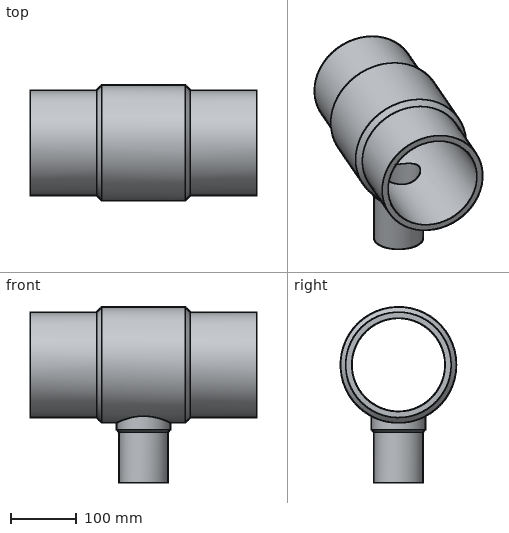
import cadquery as cq

pipe_length = 344.0
pipe_diameter = 160.0
pipe_bore = 141.0

sleeve_diameter = 176.0
sleeve_length = 142.5
sleeve_chamfer = (sleeve_diameter - pipe_diameter) / 2

branch_diameter = 75.0
branch_bore = 66.0
branch_reach = 179.0

collar_diameter = 82.5
collar_reach = 101.8
collar_chamfer = (collar_diameter - branch_diameter) / 2


def cylinder_along_x(diameter, length):
    """Cylinder centred on the origin with its axis along X."""
    start = cq.Workplane("YZ").workplane(offset=-length / 2)
    return start.circle(diameter / 2).extrude(length)


def cylinder_down(diameter, reach):
    """Cylinder from the pipe axis down to the given reach."""
    return cq.Workplane("XY").circle(diameter / 2).extrude(-reach)


pipe = cylinder_along_x(pipe_diameter, pipe_length)
sleeve = cylinder_along_x(sleeve_diameter, sleeve_length).edges("%CIRCLE").chamfer(sleeve_chamfer)
branch = cylinder_down(branch_diameter, branch_reach)
collar = cylinder_down(collar_diameter, collar_reach).faces("<Z").edges().chamfer(collar_chamfer)
body = pipe.union(sleeve).union(collar).union(branch)

main_bore = cylinder_along_x(pipe_bore, pipe_length)
side_bore = cylinder_down(branch_bore, branch_reach)
result = body.cut(main_bore).cut(side_bore)